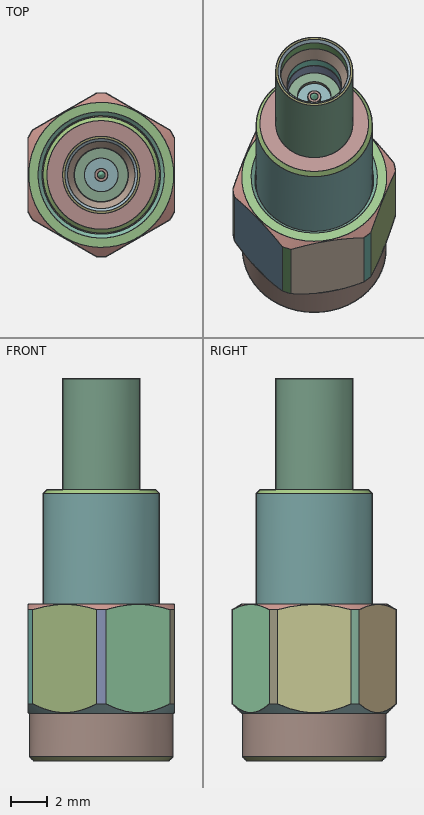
import cadquery as cq

total_length = 20.75
hex_bottom = 2.6
hex_top = 8.53
body_top = 14.73

collar_radius = 3.9
collar_chamfer = 0.25
across_flats = 7.95
across_corners = 8.9
hex_corner_radius = across_corners / 2
hex_face_diameter = 7.86
hex_face_radius = hex_face_diameter / 2
hex_bottom_chamfer = hex_corner_radius - hex_face_radius
hex_top_chamfer = 0.31

countersink_radius = 3.42
gap_radius = 3.22
gap_depth = 0.62

body_radius = 3.15
body_chamfer = 0.2
tube_radius = 2.1

bore_radius = 1.83
bore_lead_in = 0.15
bore_depth = 0.83
inner_bore_radius = 1.47
cone_end_depth = 1.45
step_depth = 2.08
floor_radius = 1.45
floor_depth = 2.9

recess_radius = 0.91
recess_depth = 0.2
pin_radius = 0.35
pin_tip_radius = 0.2
pin_tip_height = 0.2


def revolve_profile(points):
    """Solid of revolution about Z from a closed outline of (radius, z) points."""
    return cq.Workplane("XZ").polyline(points).close().revolve(360, (0, 0, 0), (0, 1, 0))


def make_collar():
    collar = cq.Workplane("XY").circle(collar_radius).extrude(hex_bottom)
    return collar.faces("<Z").chamfer(collar_chamfer)


def make_hexagon():
    """Hexagon with flats facing +X and -X, its corners turned and its ends coned."""
    prism = (
        cq.Workplane("XY", origin=(0, 0, hex_bottom))
        .polygon(6, across_flats, circumscribed=True)
        .extrude(hex_top - hex_bottom)
    )
    turned_envelope = revolve_profile([
        (0, hex_bottom),
        (hex_face_radius, hex_bottom),
        (hex_corner_radius, hex_bottom + hex_bottom_chamfer),
        (hex_corner_radius, hex_top - hex_top_chamfer),
        (hex_face_radius, hex_top),
        (0, hex_top),
    ])
    return prism.intersect(turned_envelope)


def make_gap():
    """Clearance hole in the nut, opened at the top by a 45 degree countersink."""
    countersink_depth = countersink_radius - gap_radius
    return revolve_profile([
        (0, hex_top),
        (countersink_radius, hex_top),
        (gap_radius, hex_top - countersink_depth),
        (gap_radius, hex_top - gap_depth),
        (0, hex_top - gap_depth),
    ])


def make_body():
    """Chamfered cylindrical body with the crimp tube rising from it."""
    body = cq.Workplane("XY").circle(body_radius).extrude(body_top)
    body = body.faces(">Z").chamfer(body_chamfer)
    tube = cq.Workplane("XY").circle(tube_radius).extrude(total_length)
    return body.union(tube)


def make_bore():
    """Stepped bore that leaves the pin standing in a ring recess in its floor."""
    floor = total_length - floor_depth
    step = total_length - step_depth
    return revolve_profile([
        (0, total_length),
        (bore_radius + bore_lead_in, total_length),
        (bore_radius, total_length - bore_lead_in),
        (bore_radius, total_length - bore_depth),
        (inner_bore_radius, total_length - cone_end_depth),
        (inner_bore_radius, step),
        (floor_radius, step),
        (floor_radius, floor),
        (recess_radius, floor),
        (recess_radius, floor - recess_depth),
        (pin_radius, floor - recess_depth),
        (pin_radius, floor),
        (pin_tip_radius, floor),
        (0, floor + pin_tip_height),
    ])


nut = make_collar().union(make_hexagon()).cut(make_gap())
result = nut.union(make_body()).cut(make_bore())